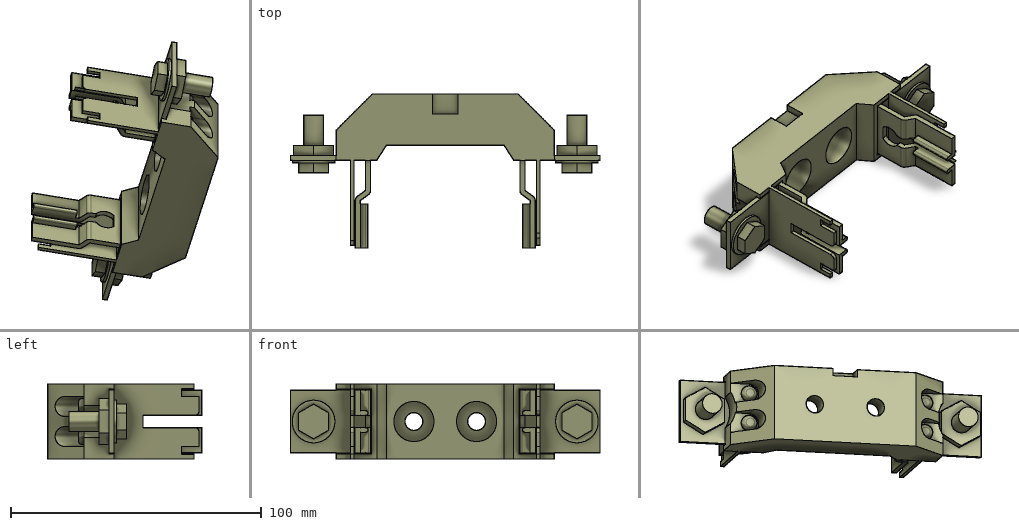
import cadquery as cq
import math


body_half_length = 43.5
body_height = 30.0
body_back_y = 61.5
body_front_y = 35.0
back_chamfer = 14.5
shoulder_y = body_back_y - back_chamfer
recess_floor_y = 41.0
recess_half_floor = 23.4
recess_half_mouth = 27.3
notch_width = 10.0
notch_length = 8.0
notch_depth = 3.0

mount_spacing = 25.0
mount_hole_dia = 7.0
mount_bore_dia = 16.0
mount_bore_depth = 10.5

plate_end_x = 61.75
plate_inner_x = 29.75
plate_height = 25.0
plate_thickness = 2.0
plate_back_y = body_front_y + plate_thickness
pocket_clearance = 0.4

bolt_x = 52.5
stud_dia = 8.0
stud_end_y = 53.0
washer_dia = 17.0
washer_thickness = 1.0
head_flats = 12.0
head_thickness = 4.0
nut_flats = 16.0
nut_thickness = 4.0
nut_clearance_radius = 11.0

screw_x = 36.0
screw_spacing = 12.0
screw_slot_width = 8.0
screw_head_dia = 6.4
screw_head_height = 2.2
screw_head_round = 1.5

spring_thickness = 2.1
spring_tip_inner_x = 33.8
upper_bend_x = plate_inner_x + spring_thickness
upper_bend_y = 23.0
lower_bend_x = spring_tip_inner_x
lower_bend_y = 19.0
slot_half_width = 2.4
window_radius = 4.5
window_y = 29.0
window_end_y = 32.5
lip_length = 17.6
lip_end_x = 30.8
lip_thickness = 1.9

guard_inner_x = 36.35
guard_thickness = 1.5
guard_tip_y = 1.1
guard_slot_end_y = 23.4
arm_tip_setback = 2.0
arm_thickness = 2.0
arm_notch_inner_z = 10.0
arm_notch_setback = 7.0
guard_corner_radius = 1.9
right_guard_setback = 3.0
fin_thickness = 0.2


def box(x0, x1, y0, y1, z0, z1):
    """Box between two opposite corners."""
    return cq.Workplane("XY").box(x1 - x0, y1 - y0, z1 - z0, centered=False).translate((x0, y0, z0))


def facing_back(y):
    """Workplane at the given Y whose normal is +Y (its local x is -X)."""
    return cq.Workplane("XZ", origin=(0, y, 0)).transformed(rotate=(0, 180, 0))


def rod(x, z, diameter, y0, y1):
    """Round bar parallel to Y."""
    return facing_back(y0).center(-x, z).circle(diameter / 2).extrude(y1 - y0)


def hexagon(x, flats, y0, y1):
    """Hexagonal bar parallel to Y with two corners pointing up and down."""
    corner_dia = flats / math.cos(math.pi / 6)
    bar = facing_back(y0).polygon(6, corner_dia).extrude(y1 - y0)
    return bar.rotate((0, 0, 0), (0, 1, 0), 90).translate((x, 0, 0))


def mirrored(shape):
    return shape.mirror("YZ")


def make_bridge():
    half_outline = [
        (body_half_length - back_chamfer, body_back_y),
        (body_half_length, shoulder_y),
        (body_half_length, body_front_y),
        (recess_half_mouth, body_front_y),
        (recess_half_floor, recess_floor_y),
    ]
    other_half = [(-x, y) for x, y in reversed(half_outline)]
    bridge = cq.Workplane("XY").polyline(half_outline + other_half).close()
    bridge = bridge.extrude(body_height / 2, both=True)

    top_z = body_height / 2
    bridge = bridge.cut(box(-notch_width / 2, notch_width / 2,
                            body_back_y - notch_length, body_back_y,
                            top_z - notch_depth, top_z))
    for x in (-mount_spacing / 2, mount_spacing / 2):
        bridge = bridge.cut(rod(x, 0, mount_hole_dia, recess_floor_y, body_back_y))
        bridge = bridge.cut(rod(x, 0, mount_bore_dia, recess_floor_y, recess_floor_y + mount_bore_depth))
    side_cuts = make_side_cuts()
    return bridge.cut(side_cuts).cut(mirrored(side_cuts))


def make_side_cuts():
    """Plate pocket, nut clearance and screw slots of one side."""
    pocket_half = plate_height / 2 + pocket_clearance
    cuts = box(plate_inner_x - pocket_clearance, body_half_length,
               body_front_y, plate_back_y, -pocket_half, pocket_half)
    cuts = cuts.union(rod(bolt_x, 0, 2 * nut_clearance_radius, plate_back_y, body_back_y))
    for z in (-screw_spacing / 2, screw_spacing / 2):
        cuts = cuts.union(rod(screw_x, z, screw_slot_width, shoulder_y, body_back_y))
        cuts = cuts.union(box(screw_x, body_half_length, shoulder_y, body_back_y,
                              z - screw_slot_width / 2, z + screw_slot_width / 2))
    return cuts


def make_terminal_plate():
    half = plate_height / 2
    return box(plate_inner_x, plate_end_x, body_front_y, plate_back_y, -half, half)


def make_bolt():
    washer_front_y = body_front_y - washer_thickness
    bolt = rod(bolt_x, 0, stud_dia, washer_front_y, stud_end_y)
    bolt = bolt.union(rod(bolt_x, 0, washer_dia, washer_front_y, body_front_y))
    bolt = bolt.union(hexagon(bolt_x, head_flats, washer_front_y - head_thickness, washer_front_y))
    return bolt.union(hexagon(bolt_x, nut_flats, plate_back_y, plate_back_y + nut_thickness))


def make_screw_head(z):
    head = rod(screw_x, z, screw_head_dia, shoulder_y, shoulder_y + screw_head_height)
    return head.faces(">Y").edges().fillet(screw_head_round)


def make_spring():
    """Cranked strip, slotted from the tip, with a lip along each slot edge."""
    t = spring_thickness
    bend_dx = lower_bend_x - upper_bend_x
    bend_dy = upper_bend_y - lower_bend_y
    bend_angle = math.atan2(bend_dx, bend_dy) + math.asin(t / math.hypot(bend_dx, bend_dy))

    def around(x, y, angle):
        return (x + t * math.cos(angle), y + t * math.sin(angle))

    upper_mid = around(upper_bend_x, upper_bend_y, math.pi + bend_angle / 2)
    upper_end = around(upper_bend_x, upper_bend_y, math.pi + bend_angle)
    lower_start = around(lower_bend_x, lower_bend_y, bend_angle)
    lower_mid = around(lower_bend_x, lower_bend_y, bend_angle / 2)

    strip = (
        cq.Workplane("XY")
        .moveTo(plate_inner_x, body_front_y)
        .lineTo(plate_inner_x, upper_bend_y)
        .threePointArc(upper_mid, upper_end)
        .lineTo(lower_bend_x, lower_bend_y)
        .lineTo(lower_bend_x, 0)
        .lineTo(lower_bend_x + t, 0)
        .lineTo(lower_bend_x + t, lower_bend_y)
        .threePointArc(lower_mid, lower_start)
        .lineTo(upper_bend_x, upper_bend_y)
        .lineTo(upper_bend_x, body_front_y)
        .close()
        .extrude(plate_height / 2, both=True)
    )
    far_x = lower_bend_x + t
    slot = box(plate_inner_x, far_x, 0, window_y, -slot_half_width, slot_half_width)
    window = cq.Workplane("YZ", origin=(plate_inner_x, 0, 0)).center(window_y, 0)
    window = window.circle(window_radius).extrude(far_x - plate_inner_x)
    window = window.intersect(box(plate_inner_x, far_x, 0, window_end_y, -window_radius, window_radius))
    strip = strip.cut(slot).cut(window)

    lip = box(lip_end_x + lip_thickness / 2, far_x, 0, lip_length,
              slot_half_width, slot_half_width + lip_thickness)
    lip = lip.union(rod(lip_end_x + lip_thickness / 2, slot_half_width + lip_thickness / 2,
                        lip_thickness, 0, lip_length))
    return strip.union(lip).union(lip.mirror("XY"))


def make_guard(setback):
    """Flat forked plate with side arms; setback shifts its tip features towards the bridge."""
    tip_y = guard_tip_y + setback
    arm_tip_y = tip_y + arm_tip_setback
    notch_end_y = tip_y + arm_notch_setback
    arm_outer_z = body_height / 2
    arm_inner_z = arm_outer_z - arm_thickness
    half = (
        cq.Workplane("YZ", origin=(guard_inner_x, 0, 0))
        .moveTo(body_front_y, 0)
        .lineTo(guard_slot_end_y + setback, 0)
        .lineTo(guard_slot_end_y + setback, slot_half_width)
        .lineTo(tip_y + guard_corner_radius, slot_half_width)
        .radiusArc((tip_y, slot_half_width + guard_corner_radius), guard_corner_radius)
        .lineTo(tip_y, arm_notch_inner_z)
        .lineTo(notch_end_y, arm_notch_inner_z)
        .lineTo(notch_end_y, arm_inner_z)
        .lineTo(arm_tip_y, arm_inner_z)
        .lineTo(arm_tip_y, arm_outer_z)
        .lineTo(body_front_y, arm_outer_z)
        .close()
        .extrude(guard_thickness)
    )
    return half.union(half.mirror("XY"))


def make_guard_fins():
    """Thin fins that carry the slot edges of the set-back guard on to the usual tip line."""
    fin = box(guard_inner_x, guard_inner_x + guard_thickness,
              guard_tip_y, guard_tip_y + right_guard_setback + 2 * guard_corner_radius,
              slot_half_width, slot_half_width + fin_thickness)
    return fin.union(fin.mirror("XY"))


def make_terminal(guard):
    terminal = make_terminal_plate().union(make_bolt()).union(make_spring()).union(guard)
    for z in (-screw_spacing / 2, screw_spacing / 2):
        terminal = terminal.union(make_screw_head(z))
    return terminal


right_terminal = make_terminal(make_guard(right_guard_setback).union(make_guard_fins()))
left_terminal = mirrored(make_terminal(make_guard(0)))
result = make_bridge().union(right_terminal).union(left_terminal)